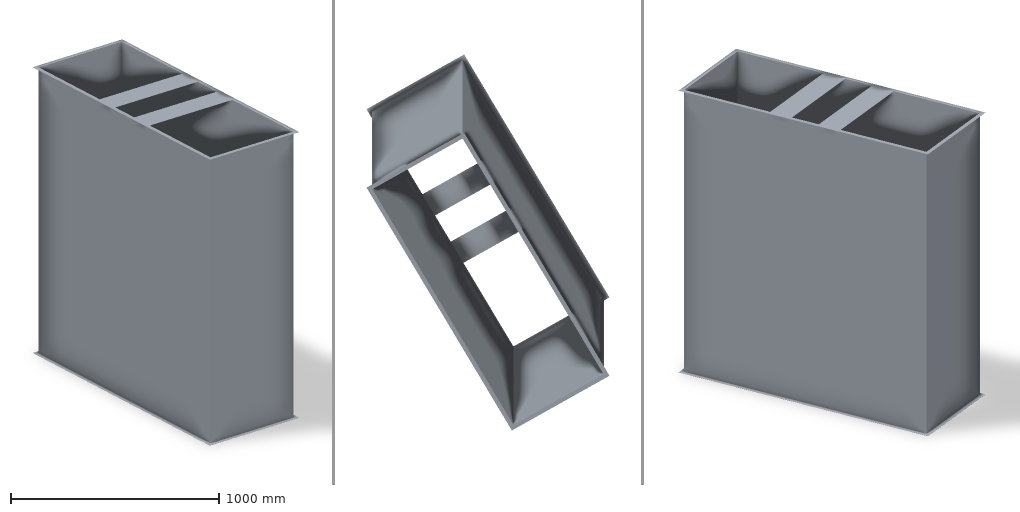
import cadquery as cq

overall_x = 1392.0
overall_y = 542.0
height = 1500.0

sheet = 1.0

rim_width = 20.0

strip_width = 122.0
strip_gap = 150.0

outer_x = overall_x - 2 * rim_width
outer_y = overall_y - 2 * rim_width
inner_x = outer_x - 2 * sheet
inner_y = outer_y - 2 * sheet


def rectangular_ring(hole_x, hole_y, wall, ring_height, bottom_z):
    """Rectangular ring of constant wall width around a rectangular opening."""
    return (
        cq.Workplane("XY")
        .workplane(offset=bottom_z)
        .rect(hole_x + 2 * wall, hole_y + 2 * wall)
        .rect(hole_x, hole_y)
        .extrude(ring_height)
    )


def make_duct():
    """Thin sheet tube, open at the top and bottom."""
    return rectangular_ring(inner_x, inner_y, sheet, height, -height / 2)


def make_rim(bottom_z):
    """Flat flange that fits around the outside of the duct."""
    return rectangular_ring(outer_x, outer_y, rim_width, sheet, bottom_z)


def make_strip(center_x):
    """Flat strip that spans the duct from wall to wall, flush with its top."""
    return (
        cq.Workplane("XY")
        .workplane(offset=height / 2 - sheet)
        .center(center_x, 0)
        .rect(strip_width, inner_y)
        .extrude(sheet)
    )


duct = make_duct()

rims = []
for rim_bottom in (-height / 2, height / 2 - sheet):
    rims.append(make_rim(rim_bottom).val())

strip_offset = (strip_gap + strip_width) / 2
strips = []
for side in (-1, 1):
    strips.append(make_strip(side * strip_offset).val())

result = cq.Compound.makeCompound([duct.val(), *rims, *strips])